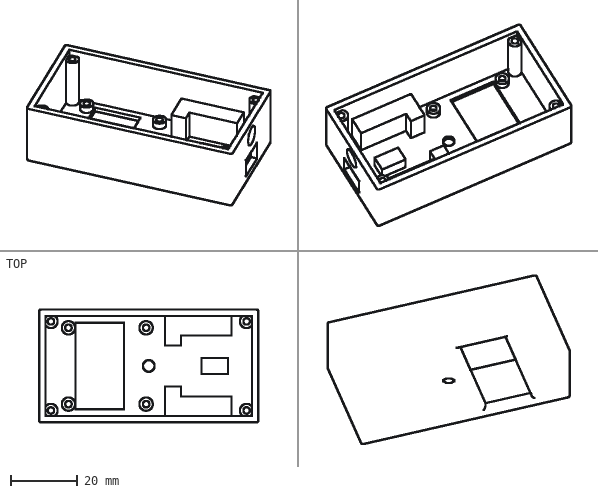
import cadquery as cq

LENGTH = 66.0
WIDTH = 34.0
HEIGHT = 20.0
WALL = 2.0
FLOOR = 2.0
CORNER_RADIUS = 0.65
BOTTOM_RADIUS = 1.0
INNER_LENGTH = LENGTH - 2 * WALL
INNER_WIDTH = WIDTH - 2 * WALL

POST_DIAMETER = 4.0
SCREW_HOLE_DIAMETER = 2.0
CORNER_POST_X = 29.45
CORNER_POST_Y = 13.4
CORNER_POST_TOP = HEIGHT - 2.0
STANDOFF_X_POSITIONS = (-24.15, -0.8)
STANDOFF_Y = 11.5
STANDOFF_HEIGHT = 2.05

WINDOW_X_MIN = -22.0
WINDOW_LENGTH = 14.5
WINDOW_WIDTH = 26.0
FLOOR_HOLE_DIAMETER = 3.4

BLOCK_X_MIN = 4.95
BLOCK_LENGTH = 20.0
BLOCK_INNER_Y = 9.25
BLOCK_HEIGHT = 9.05
TAB_LENGTH = 4.7
TAB_INNER_Y = 6.2

REST_X_MIN = 15.9
REST_LENGTH = 8.0
REST_WIDTH = 4.9
REST_HEIGHT = 4.1

SOCKET_HOLE_DIAMETER = 6.0
SOCKET_HOLE_Z = 15.0
PORT_WIDTH = 9.5
PORT_BOTTOM = 3.05
PORT_HEIGHT = 6.0


def box_from(x_min, length, y_min, width, z_min, height):
    """Axis-aligned box given by its lowest corner and its sizes."""
    return cq.Workplane("XY").box(length, width, height, centered=False).translate((x_min, y_min, z_min))


def floor_openings():
    window = box_from(WINDOW_X_MIN, WINDOW_LENGTH, -WINDOW_WIDTH / 2, WINDOW_WIDTH, 0, FLOOR)
    hole = cq.Workplane("XY").circle(FLOOR_HOLE_DIAMETER / 2).extrude(FLOOR)
    return window.union(hole)


def make_shell():
    """Hollow case; every edge of its underside, openings included, is rounded."""
    outer = cq.Workplane("XY").box(LENGTH, WIDTH, HEIGHT, centered=(True, True, False))
    outer = outer.edges("|Z").fillet(CORNER_RADIUS)
    outer = outer.cut(floor_openings()).faces("<Z").edges().fillet(BOTTOM_RADIUS)
    cavity = box_from(-INNER_LENGTH / 2, INNER_LENGTH, -INNER_WIDTH / 2, INNER_WIDTH, FLOOR, HEIGHT)
    return outer.cut(cavity)


def cylinders(points, diameter, height):
    """Upright cylinders standing on the floor at the given points."""
    return cq.Workplane("XY").workplane(offset=FLOOR).pushPoints(points).circle(diameter / 2).extrude(height)


def add_posts(body, points, height):
    """Tubular posts on the floor; the screw holes stop at the floor surface."""
    posts = cylinders(points, POST_DIAMETER, height)
    return body.union(posts).cut(cylinders(points, SCREW_HOLE_DIAMETER, height))


def support_block():
    """L-shaped block against the +Y wall, tab pointing to the middle."""
    wall_y = INNER_WIDTH / 2
    bar = box_from(BLOCK_X_MIN, BLOCK_LENGTH, BLOCK_INNER_Y, wall_y - BLOCK_INNER_Y, FLOOR, BLOCK_HEIGHT)
    tab = box_from(BLOCK_X_MIN, TAB_LENGTH, TAB_INNER_Y, wall_y - TAB_INNER_Y, FLOOR, BLOCK_HEIGHT)
    return bar.union(tab)


def end_wall_openings():
    wall_x = INNER_LENGTH / 2
    port = box_from(wall_x, WALL, -PORT_WIDTH / 2, PORT_WIDTH, PORT_BOTTOM, PORT_HEIGHT)
    socket_plane = cq.Workplane("YZ", origin=(wall_x, 0, SOCKET_HOLE_Z))
    socket = socket_plane.circle(SOCKET_HOLE_DIAMETER / 2).extrude(WALL)
    return port.union(socket)


corner_points = [(sx * CORNER_POST_X, sy * CORNER_POST_Y) for sx in (-1, 1) for sy in (-1, 1)]
standoff_points = [(x, sy * STANDOFF_Y) for x in STANDOFF_X_POSITIONS for sy in (-1, 1)]

result = make_shell()
result = add_posts(result, corner_points, CORNER_POST_TOP - FLOOR)
result = add_posts(result, standoff_points, STANDOFF_HEIGHT)
block = support_block()
rest = box_from(REST_X_MIN, REST_LENGTH, -REST_WIDTH / 2, REST_WIDTH, FLOOR, REST_HEIGHT)
result = result.union(block).union(block.mirror("XZ")).union(rest)
result = result.cut(end_wall_openings())